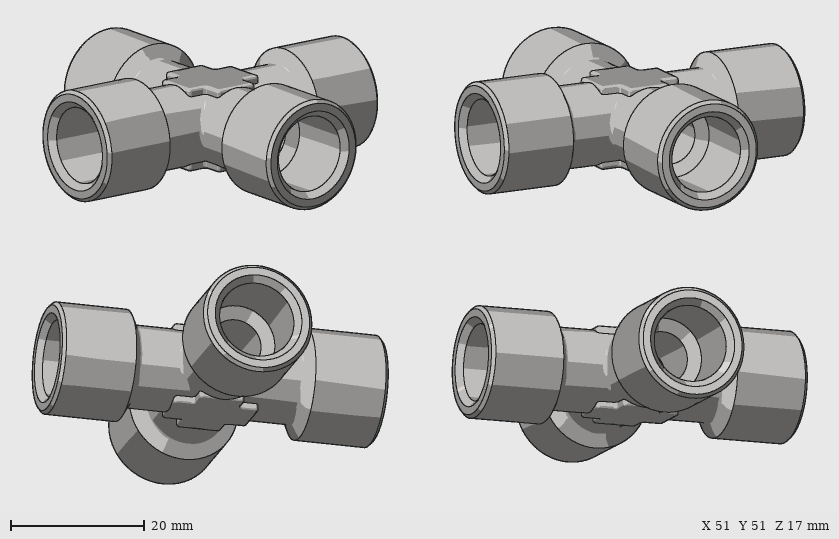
import cadquery as cq
import math

span = 51.0
half_span = span / 2

collar_diameter = 17.0
collar_radius = collar_diameter / 2
collar_length = 11.5
rim_chamfer = 0.5
neck_radius = 6.25
shoulder_angle = 60.0
edge_round = 0.5

bore_radius = 4.0
socket_radius = 5.8
socket_depth = 11.0
mouth_radius = 6.8
mouth_angle = 45.0
drill_tip_angle = 118.0

pad_length = 13.2
pad_width = 6.95
pad_to_pad_height = 12.85
pad_rim_round = 0.485

tolerance = 0.005

ARM_ANGLES = (0, 90, 180, 270)


def around(make_arm):
    """Fuse four copies of an arm shape, one along each of +X, +Y, -X and -Y."""
    arms = cq.Workplane("XY")
    for angle in ARM_ANGLES:
        arms = arms.union(make_arm().rotate((0, 0, 0), (0, 0, 1), angle))
    return arms


def arm_body():
    """Neck, conical shoulder and chamfered collar turned about +X."""
    collar_start = half_span - collar_length
    shoulder_length = (collar_radius - neck_radius) / math.tan(math.radians(shoulder_angle))
    neck_end = collar_start - shoulder_length
    body = (
        cq.Workplane("XY")
        .moveTo(0, 0)
        .lineTo(0, neck_radius)
        .lineTo(neck_end, neck_radius)
        .lineTo(collar_start, collar_radius)
        .lineTo(half_span - rim_chamfer, collar_radius)
        .lineTo(half_span, collar_radius - rim_chamfer)
        .lineTo(half_span, 0)
        .close()
        .revolve(360, (0, 0, 0), (1, 0, 0))
    )
    neck_corner = cq.selectors.BoxSelector(
        (neck_end - tolerance, -span, -span), (neck_end + tolerance, span, span), boundingbox=True
    )
    return body.edges(neck_corner).fillet(edge_round)


def arm_cavity():
    """Bore, drilled socket with a conical floor, and countersunk mouth along +X."""
    mouth_depth = (mouth_radius - socket_radius) / math.tan(math.radians(mouth_angle))
    floor_length = (socket_radius - bore_radius) / math.tan(math.radians(drill_tip_angle / 2))
    socket_end = half_span - socket_depth
    return (
        cq.Workplane("XY")
        .moveTo(0, 0)
        .lineTo(0, bore_radius)
        .lineTo(socket_end - floor_length, bore_radius)
        .lineTo(socket_end, socket_radius)
        .lineTo(half_span - mouth_depth, socket_radius)
        .lineTo(half_span, mouth_radius)
        .lineTo(half_span, 0)
        .close()
        .revolve(360, (0, 0, 0), (1, 0, 0))
    )


def pad_cross():
    """Cross-shaped block whose ends stand proud of the necks as top and bottom pads."""
    bar = cq.Workplane("XY").box(pad_length, pad_width, pad_to_pad_height)
    cross = bar.union(cq.Workplane("XY").box(pad_width, pad_length, pad_to_pad_height))
    return cross.edges("|Z").fillet(edge_round).faces("<Z or >Z").edges().fillet(pad_rim_round)


def is_crease(edge):
    """True for an edge lying in a vertical diagonal plane, where two necks meet."""
    points = (edge.startPoint(), edge.positionAt(0.5), edge.endPoint())
    in_diagonal_plane = all(abs(abs(point.x) - abs(point.y)) < tolerance for point in points)
    return in_diagonal_plane and edge.Length() > neck_radius / 2


def round_creases(body):
    """Round the concave corners between neighbouring necks."""
    creases = [edge for edge in body.edges().vals() if is_crease(edge)]
    return body.newObject(creases).fillet(edge_round)


solid_cross = round_creases(around(arm_body).union(pad_cross()))
result = solid_cross.cut(around(arm_cavity))